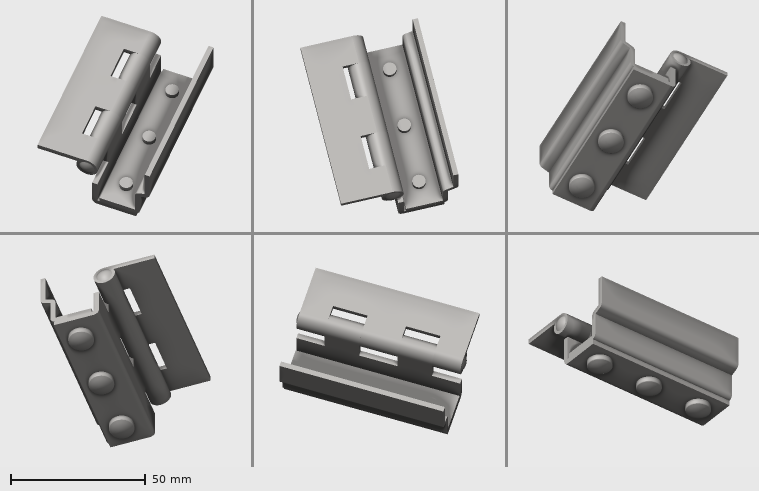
import cadquery as cq
import math


pin_overall = 66.0
pin_dome = 1.0
pin_radius = 3.05
knuckle_radius = 4.2

hinge_length = pin_overall - 2 * pin_dome
leaf_thickness = 2.1
upper_leaf_edge_x = -19.8
lower_leaf_edge_x = 19.8
lower_leaf_bottom_z = -20.9
lower_leaf_floor_z = lower_leaf_bottom_z + leaf_thickness
lower_leaf_inner_x = knuckle_radius - leaf_thickness
middle_knuckle_length = 15.05
gap_length = 13.45
upper_gap_end_x = -6.35
lower_gap_end_z = -8.6
gap_center_y = (middle_knuckle_length + gap_length) / 2
end_knuckle_length = (hinge_length - middle_knuckle_length) / 2 - gap_length
end_knuckle_center_y = (hinge_length - end_knuckle_length) / 2

bracket_thickness = 2.0
bracket_edge_x = 5.1
bracket_top_z = 7.1
lower_wall_x = 19.3
upper_wall_x = 23.2
step_angle = 23.0
lower_bend_z = -7.9

rivet_x = 12.2
rivet_pitch = 23.05
shank_radius = 2.5
shank_top_z = -14.85
head_radius = 4.8
head_rim_height = 2.05
head_height = 3.55
head_edge_radius = 0.4
rivet_ys = [-rivet_pitch, 0, rivet_pitch]


def along_hinge(profile, center_y, length):
    """Extrude a closed XZ profile along Y, centred on center_y."""
    return profile.extrude(length / 2, both=True).translate((0, center_y, 0))


def gap_block(x_min, x_max, z_min, z_max, center_y, length):
    """Box that clears a leaf where the other leaf's knuckle runs."""
    block = cq.Workplane("XY").box(x_max - x_min, length, z_max - z_min)
    return block.translate(((x_min + x_max) / 2, center_y, (z_min + z_max) / 2))


def pin_bore():
    bore = cq.Workplane("XZ").circle(pin_radius)
    return along_hinge(bore, 0, hinge_length)


def rivet_holes():
    """Clearance-free shank cylinders through both riveted plates."""
    depth = shank_top_z - lower_leaf_bottom_z
    centers = [(rivet_x, y) for y in rivet_ys]
    plane = cq.Workplane("XY").workplane(offset=lower_leaf_bottom_z)
    return plane.pushPoints(centers).circle(shank_radius).extrude(depth)


def make_upper_leaf():
    """Flat leaf tangent to the top of its three knuckles."""
    plate = (
        cq.Workplane("XZ")
        .moveTo(upper_leaf_edge_x, knuckle_radius)
        .lineTo(0, knuckle_radius)
        .lineTo(0, knuckle_radius - leaf_thickness)
        .lineTo(upper_leaf_edge_x, knuckle_radius - leaf_thickness)
        .close()
    )
    knuckle = cq.Workplane("XZ").circle(knuckle_radius)
    leaf = along_hinge(plate, 0, hinge_length).union(along_hinge(knuckle, 0, hinge_length))
    for side in (-1, 1):
        leaf = leaf.cut(gap_block(
            upper_gap_end_x, knuckle_radius, -knuckle_radius, knuckle_radius,
            side * gap_center_y, gap_length,
        ))
    return leaf.cut(pin_bore())


def make_lower_leaf():
    """L-shaped leaf whose upright is tangent to the side of its two knuckles."""
    angle = (
        cq.Workplane("XZ")
        .moveTo(knuckle_radius, 0)
        .lineTo(knuckle_radius, lower_leaf_floor_z)
        .lineTo(lower_leaf_edge_x, lower_leaf_floor_z)
        .lineTo(lower_leaf_edge_x, lower_leaf_bottom_z)
        .lineTo(knuckle_radius, lower_leaf_bottom_z)
        .radiusArc((lower_leaf_inner_x, lower_leaf_floor_z), leaf_thickness)
        .lineTo(lower_leaf_inner_x, 0)
        .close()
    )
    knuckle = cq.Workplane("XZ").circle(knuckle_radius)
    leaf = along_hinge(angle, 0, hinge_length).union(along_hinge(knuckle, 0, hinge_length))
    gaps = [
        (-end_knuckle_center_y, end_knuckle_length),
        (0, middle_knuckle_length),
        (end_knuckle_center_y, end_knuckle_length),
    ]
    for center_y, length in gaps:
        leaf = leaf.cut(gap_block(
            -knuckle_radius, knuckle_radius, lower_gap_end_z, knuckle_radius,
            center_y, length,
        ))
    return leaf.cut(pin_bore()).cut(rivet_holes())


def make_bracket():
    """Plate on the lower leaf with an upright that steps outward."""
    t = bracket_thickness
    slope = math.radians(step_angle)
    normal_x = -math.sin(slope)
    normal_z = math.cos(slope)
    lower_outer_x = lower_wall_x + t
    upper_outer_x = upper_wall_x + t
    lower_tangent = (lower_outer_x + t * normal_x, lower_bend_z + t * normal_z)
    slope_run = upper_wall_x - lower_tangent[0]
    upper_bend_z = lower_tangent[1] + slope_run * math.tan(slope)
    upper_tangent = (upper_wall_x - t * normal_x, upper_bend_z - t * normal_z)
    base_z = lower_leaf_floor_z
    profile = (
        cq.Workplane("XZ")
        .moveTo(bracket_edge_x, base_z)
        .lineTo(lower_wall_x, base_z)
        .radiusArc((lower_outer_x, base_z + t), -t)
        .lineTo(lower_outer_x, lower_bend_z)
        .lineTo(*upper_tangent)
        .radiusArc((upper_outer_x, upper_bend_z), -t)
        .lineTo(upper_outer_x, bracket_top_z)
        .lineTo(upper_wall_x, bracket_top_z)
        .lineTo(upper_wall_x, upper_bend_z)
        .lineTo(*lower_tangent)
        .radiusArc((lower_wall_x, lower_bend_z), -t)
        .lineTo(lower_wall_x, base_z + t)
        .lineTo(bracket_edge_x, base_z + t)
        .close()
    )
    return along_hinge(profile, 0, hinge_length).cut(rivet_holes())


def make_pin():
    """Pin filling the knuckle bore, with a shallow dome past each end."""
    half_bore = hinge_length / 2
    half_pin = pin_overall / 2
    dome_radius = (pin_radius**2 + pin_dome**2) / (2 * pin_dome)
    return (
        cq.Workplane("XY")
        .moveTo(0, -half_pin)
        .radiusArc((pin_radius, -half_bore), -dome_radius)
        .lineTo(pin_radius, half_bore)
        .radiusArc((0, half_pin), -dome_radius)
        .close()
        .revolve(360, (0, 0, 0), (0, 1, 0))
    )


def make_rivet(y):
    """Rivet with a domed head below the lower leaf and a plain shank end."""
    rim_z = lower_leaf_bottom_z - head_rim_height
    dome_height = head_height - head_rim_height
    dome_radius = (head_radius**2 + dome_height**2) / (2 * dome_height)
    head = (
        cq.Workplane("XZ")
        .moveTo(0, lower_leaf_bottom_z)
        .lineTo(head_radius, lower_leaf_bottom_z)
        .lineTo(head_radius, rim_z)
        .radiusArc((0, lower_leaf_bottom_z - head_height), dome_radius)
        .close()
        .revolve(360, (0, 0, 0), (0, 1, 0))
    )
    rim = cq.selectors.NearestToPointSelector((0, 0, rim_z))
    head = head.edges("%CIRCLE").edges(rim).fillet(head_edge_radius)
    shank_length = shank_top_z - lower_leaf_bottom_z
    shank = cq.Workplane("XY").workplane(offset=lower_leaf_bottom_z)
    shank = shank.circle(shank_radius).extrude(shank_length)
    return head.union(shank).translate((rivet_x, y, 0))


upper_leaf = make_upper_leaf()
lower_leaf = make_lower_leaf()
bracket = make_bracket()
pin = make_pin()
rivets = [make_rivet(y) for y in rivet_ys]

result = cq.Compound.makeCompound([
    upper_leaf.val(),
    lower_leaf.val(),
    bracket.val(),
    pin.val(),
    *[rivet.val() for rivet in rivets],
])